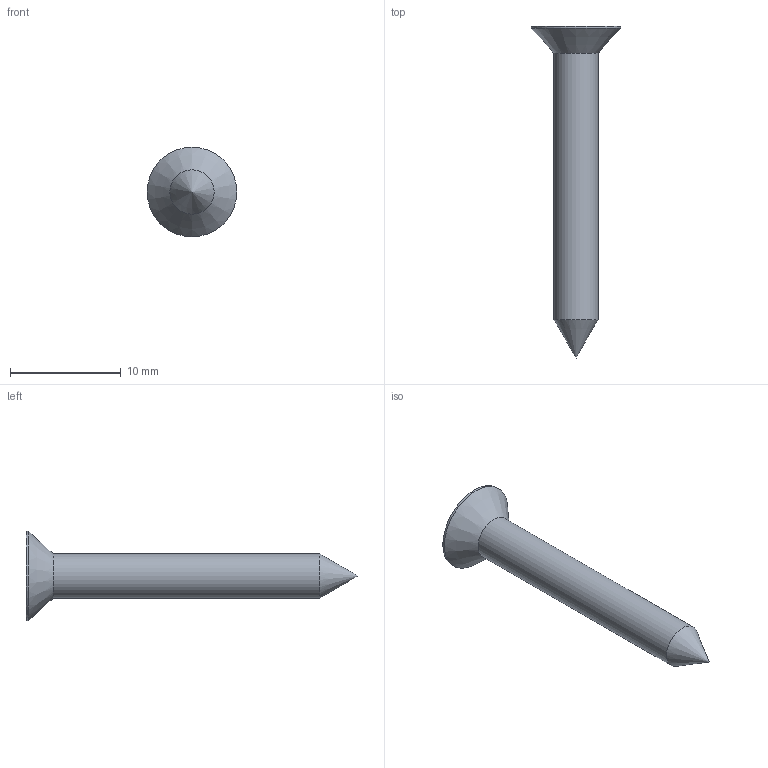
import cadquery as cq
import math

total_length = 30.0
head_diameter = 8.1
head_rim_thickness = 0.2
head_height = 2.45
shank_diameter = 4.0
tip_angle = 60.0

head_radius = head_diameter / 2
shank_radius = shank_diameter / 2
tip_length = shank_radius / math.tan(math.radians(tip_angle / 2))
shank_end = total_length - tip_length


def nail_body():
    """Revolve the half profile (length along Y, radius along Z) around the Y axis."""
    half_profile = (
        cq.Workplane("YZ")
        .moveTo(0, 0)
        .lineTo(0, head_radius)
        .lineTo(-head_rim_thickness, head_radius)
        .lineTo(-head_height, shank_radius)
        .lineTo(-shank_end, shank_radius)
        .lineTo(-total_length, 0)
        .close()
    )
    return half_profile.revolve(360, (0, 0, 0), (1, 0, 0))


result = nail_body()